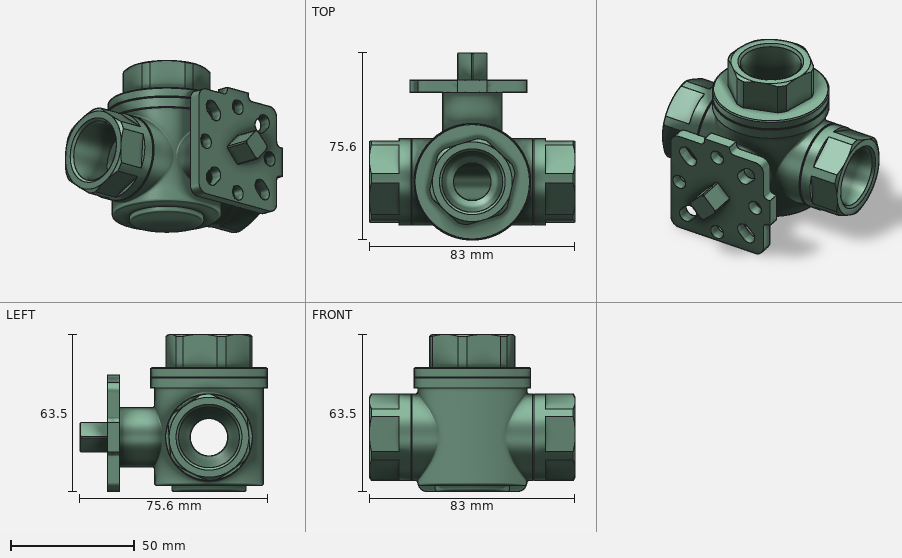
import cadquery as cq
import math


body_radius = 22.0
body_bottom = -19.5
flange_radius = 23.6
flange_bottom = 19.9
flange_top = 28.1
flange_chamfer = 0.5
bottom_edge_fillet = 1.0
base_radius = 15.0
base_bottom = -21.9

port_radius = 17.5
port_reach = 41.5
hex_sides = 6
hex_flat_distance = 16.0
hex_flat_length = 11.95
hex_end_radius = 16.1
hex_end_chamfer = 0.79
side_hex_tilt = 4.5
top_hex_tilt = 17.0
blend_radius = 0.8

thread_radius = 12.3
thread_depth = 19.9
thread_chamfer = 1.0
passage_radius = 7.55
cone_slope = 30.0

groove_width = 0.5
groove_depth = 0.25
flange_groove_z = 24.15
port_groove_x = 24.6

neck_radius = 12.0
plate_front = 36.0
plate_back = 41.0
plate_half_width = 22.0
plate_corner_radius = 4.0
tab_half_width = 6.0
tab_reach = 25.15
tab_fillet = 2.1
stem_end = 51.95
stem_square = 9.0
stem_radius = 6.0
stem_chamfer = 0.3

hole_diameter = 6.0
inner_bolt_radius = 18.0
outer_bolt_radius = 21.0
holes_per_circle = 4
diagonal = 45.0


def cylinder_z(radius, bottom, top):
    return cq.Workplane("XY").workplane(offset=bottom).circle(radius).extrude(top - bottom)


def groove_z(radius, middle):
    """Ring that cuts a shallow groove into a cylinder about Z."""
    start = middle - groove_width / 2
    ring = cq.Workplane("XY").workplane(offset=start)
    return ring.circle(2 * radius).circle(radius - groove_depth).extrude(groove_width)


def along_x(shape, side):
    """Turn a shape built upward along Z so that it points along +X (side 1) or -X (side -1)."""
    return shape.rotate((0, 0, 0), (0, 1, 0), side * 90)


def along_y(shape):
    """Turn a shape built upward along Z so that it points along +Y; its +Y side then faces -Z."""
    return shape.rotate((0, 0, 0), (1, 0, 0), -90)


def port_blank(start):
    """Solid cylinder about Z whose outer end is bevelled."""
    profile = [
        (0, start),
        (port_radius, start),
        (port_radius, port_reach - hex_end_chamfer),
        (hex_end_radius, port_reach),
        (0, port_reach),
    ]
    return cq.Workplane("XZ").polyline(profile).close().revolve(360, (0, 0, 0), (0, 1, 0))


def hex_cutter(start):
    """Ring outside a hexagon with one flat facing -Y."""
    across_corners = 2 * hex_flat_distance / math.cos(math.pi / hex_sides)
    hexagon = cq.Workplane("XY").workplane(offset=start).polygon(hex_sides, across_corners)
    hexagon = hexagon.extrude(port_reach - start)
    return cylinder_z(2 * port_radius, start, port_reach).cut(hexagon)


def port_bore():
    """Threaded bore, tapered bottom and passage, from the port mouth down to the origin."""
    cone_start = port_reach - thread_depth
    cone_height = (thread_radius - passage_radius) * math.tan(math.radians(cone_slope))
    cone_end = cone_start - cone_height
    profile = [
        (0, 0),
        (passage_radius, 0),
        (passage_radius, cone_end),
        (thread_radius, cone_start),
        (thread_radius, port_reach - thread_chamfer),
        (thread_radius + thread_chamfer, port_reach),
        (0, port_reach),
    ]
    return cq.Workplane("XZ").polyline(profile).close().revolve(360, (0, 0, 0), (0, 1, 0))


def mounting_plate():
    thickness = plate_back - plate_front
    sketch = cq.Workplane("XZ", origin=(0, plate_back, 0))
    plate = sketch.rect(2 * plate_half_width, 2 * plate_half_width).extrude(thickness)
    plate = plate.edges("|Y").fillet(plate_corner_radius)

    flank_end = plate_half_width + tab_fillet
    root = tab_half_width + tab_fillet
    tab = (
        sketch.moveTo(-root, 0)
        .lineTo(-root, plate_half_width)
        .radiusArc((-tab_half_width, flank_end), -tab_fillet)
        .lineTo(-tab_half_width, tab_reach)
        .lineTo(tab_half_width, tab_reach)
        .lineTo(tab_half_width, flank_end)
        .radiusArc((root, plate_half_width), -tab_fillet)
        .lineTo(root, 0)
        .close()
        .extrude(thickness)
    )
    plate = plate.union(tab).union(tab.rotate((0, 0, 0), (0, 1, 0), -90))

    slot_middle = (inner_bolt_radius + outer_bolt_radius) / 2
    slot_length = outer_bolt_radius - inner_bolt_radius + hole_diameter
    holes = sketch.polarArray(inner_bolt_radius, 0, 360, holes_per_circle)
    holes = holes.circle(hole_diameter / 2).extrude(thickness)
    slots = sketch.polarArray(slot_middle, diagonal, 360, holes_per_circle)
    slots = slots.slot2D(slot_length, hole_diameter).extrude(thickness)
    return plate.cut(holes).cut(slots)


def stem():
    """Square drive with its corners turned down to a cylinder and bevelled at the end."""
    turned = along_y(cylinder_z(stem_radius, plate_front, stem_end).faces(">Z").chamfer(stem_chamfer))
    square = (
        cq.Workplane("XZ", origin=(0, stem_end, 0))
        .transformed(rotate=(0, 0, diagonal))
        .rect(stem_square, stem_square)
        .extrude(stem_end - plate_front)
    )
    return turned.intersect(square)


barrel = cylinder_z(body_radius, body_bottom, flange_top)
barrel = barrel.faces("<Z").edges().fillet(bottom_edge_fillet)
side_port = port_blank(0)
neck = along_y(cylinder_z(neck_radius, 0, plate_front))
casting = barrel
for branch in (along_x(side_port, 1), along_x(side_port, -1), neck):
    casting = casting.union(branch)
casting = casting.edges("not(%CIRCLE or %LINE)").fillet(blend_radius)

flange = cylinder_z(flange_radius, flange_bottom, flange_top).faces(">Z").chamfer(flange_chamfer)
base = cylinder_z(base_radius, base_bottom, 0).faces("<Z").edges().fillet(bottom_edge_fillet)
top_hex = hex_cutter(flange_top).rotate((0, 0, 0), (0, 0, 1), top_hex_tilt)
top_port = port_blank(flange_bottom).cut(top_hex)
casting = casting.union(flange).union(base).union(top_port)
casting = casting.cut(groove_z(flange_radius, flange_groove_z))

for side in (1, -1):
    flats = hex_cutter(port_reach - hex_flat_length)
    tilted = along_x(flats, side).rotate((0, 0, 0), (1, 0, 0), -side_hex_tilt)
    casting = casting.cut(tilted).cut(along_x(groove_z(port_radius, port_groove_x), side))

casting = casting.union(mounting_plate()).union(stem())

bore = port_bore()
result = casting.cut(bore).cut(along_x(bore, 1)).cut(along_x(bore, -1))